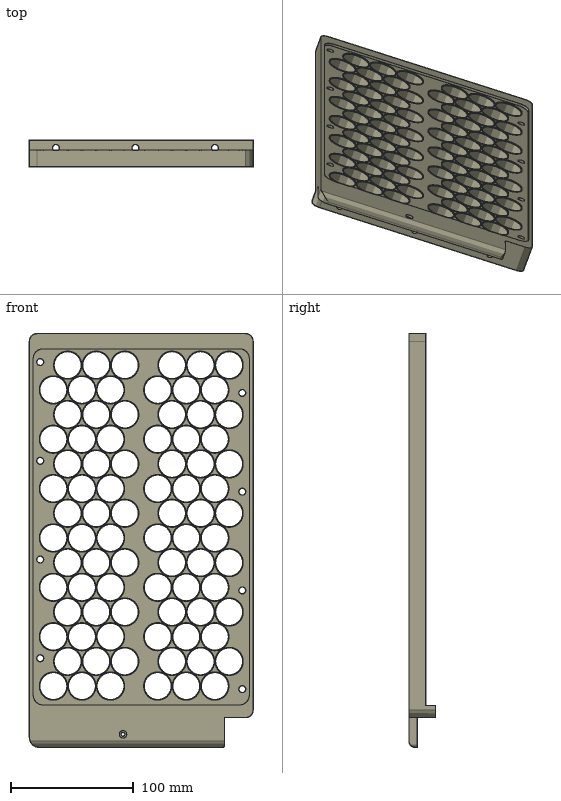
import cadquery as cq

WIDTH = 182.5
HEIGHT = 337.3
PLATE_DEPTH = 13.8
PLATE_CORNER_RADIUS = 6.5

TAIL_HEIGHT = 24.3
TAIL_WIDTH = 159.2
TAIL_DEPTH = 7.0
TAIL_LEFT_RADIUS = 8.5
TAIL_RIGHT_RADIUS = 2.0
TAIL_FRONT_RADIUS = 5.5

LEDGE_HEIGHT = 10.0
LEDGE_REACH = 22.0
LEDGE_HOLE_DIAMETER = 5.5
LEDGE_HOLE_FROM_BACK = 6.5
LEDGE_HOLE_SPACING = 64.8
LEDGE_HOLE_CENTER_X = -4.7

RECESS_SIDE_MARGIN = 3.2
RECESS_TOP_MARGIN = 12.5
RECESS_HEIGHT = 290.0
RECESS_DEPTH = 2.0
RECESS_CORNER_RADIUS = 8.0

CELL_PITCH = 23.3
ROWS = 14
GRID_HEIGHT = 261.5
ROW_PITCH = GRID_HEIGHT / (ROWS - 1)
COLUMNS = 3
GROUP_SPACING = 85.0
GRID_CENTER_Z = 180.8
CELL_DIAMETER = 22.0
CELL_MOUTH_DIAMETER = 23.0
CELL_MOUTH_DEPTH = 0.7

SCREW_DIAMETER = 5.5
SCREW_X = 82.3
SCREWS_PER_SIDE = 4
ROWS_PER_SCREW = 4
SCREW_TOP_OFFSET = 133.2

TAIL_HOLE_X = -15.0
TAIL_HOLE_Z = 10.8
TAIL_HOLE_DIAMETER = 3.0
TAIL_HOLE_HEAD_DIAMETER = 6.0
TAIL_HOLE_HEAD_DEPTH = 2.0

LEFT = -WIDTH / 2


def front_box(x_min, z_min, width, height, depth):
    """Box reaching back from the front face."""
    return cq.Workplane("XY").box(width, depth, height, centered=False).translate((x_min, 0, z_min))


def front_cylinders(centers, diameter, depth, start=0.0):
    """Cylinders along +Y at the given (x, z) centers, starting at Y = start."""
    plane = cq.Workplane("XZ", origin=(0, start, 0))
    return plane.pushPoints(centers).circle(diameter / 2).extrude(-depth)


def plate_with_ledge():
    block = front_box(LEFT, TAIL_HEIGHT, WIDTH, HEIGHT - TAIL_HEIGHT, LEDGE_REACH)
    block = block.edges("|Y").fillet(PLATE_CORNER_RADIUS)
    ledge_top = TAIL_HEIGHT + LEDGE_HEIGHT
    space_above_ledge = front_box(
        LEFT, ledge_top, WIDTH, HEIGHT - ledge_top, LEDGE_REACH - PLATE_DEPTH
    ).translate((0, PLATE_DEPTH, 0))
    return block.cut(space_above_ledge)


def tail():
    blank = front_box(LEFT, 0, TAIL_WIDTH, TAIL_HEIGHT + PLATE_CORNER_RADIUS, TAIL_DEPTH)
    outline = blank.edges("|Y and <Z and <X").fillet(TAIL_LEFT_RADIUS)
    outline = outline.edges("|Y and >X and <Z").fillet(TAIL_RIGHT_RADIUS)
    rounded_blank = blank.edges("|X and <Y and <Z").fillet(TAIL_FRONT_RADIUS)
    return outline.intersect(rounded_blank)


def ledge_holes():
    y = LEDGE_REACH - LEDGE_HOLE_FROM_BACK
    centers = [(LEDGE_HOLE_CENTER_X + i * LEDGE_HOLE_SPACING, y) for i in (-1, 0, 1)]
    plane = cq.Workplane("XY", origin=(0, 0, TAIL_HEIGHT))
    return plane.pushPoints(centers).circle(LEDGE_HOLE_DIAMETER / 2).extrude(LEDGE_HEIGHT)


def cell_centers():
    centers = []
    for row in range(ROWS):
        z = GRID_CENTER_Z + ((ROWS - 1) / 2 - row) * ROW_PITCH
        row_shift = CELL_PITCH / 4 if row % 2 == 0 else -CELL_PITCH / 4
        for group_x in (-GROUP_SPACING / 2, GROUP_SPACING / 2):
            for column in range(COLUMNS):
                x = group_x + row_shift + (column - (COLUMNS - 1) / 2) * CELL_PITCH
                centers.append((x, z))
    return centers


def screw_centers():
    centers = []
    for i in range(SCREWS_PER_SIDE):
        offset = SCREW_TOP_OFFSET - i * ROWS_PER_SCREW * ROW_PITCH
        centers.append((-SCREW_X, GRID_CENTER_Z + offset))
        centers.append((SCREW_X, GRID_CENTER_Z - offset))
    return centers


def recess():
    width = WIDTH - 2 * RECESS_SIDE_MARGIN
    bottom = HEIGHT - RECESS_TOP_MARGIN - RECESS_HEIGHT
    pocket = front_box(-width / 2, bottom, width, RECESS_HEIGHT, RECESS_DEPTH)
    return pocket.edges("|Y").fillet(RECESS_CORNER_RADIUS)


body = plate_with_ledge().union(tail())

cells = cell_centers()
tail_hole = [(TAIL_HOLE_X, TAIL_HOLE_Z)]

result = (
    body.cut(recess())
    .cut(front_cylinders(cells, CELL_DIAMETER, PLATE_DEPTH))
    .cut(front_cylinders(cells, CELL_MOUTH_DIAMETER, CELL_MOUTH_DEPTH, RECESS_DEPTH))
    .cut(front_cylinders(screw_centers(), SCREW_DIAMETER, PLATE_DEPTH))
    .cut(ledge_holes())
    .cut(front_cylinders(tail_hole, TAIL_HOLE_DIAMETER, TAIL_DEPTH))
    .cut(front_cylinders(tail_hole, TAIL_HOLE_HEAD_DIAMETER, TAIL_HOLE_HEAD_DEPTH))
)